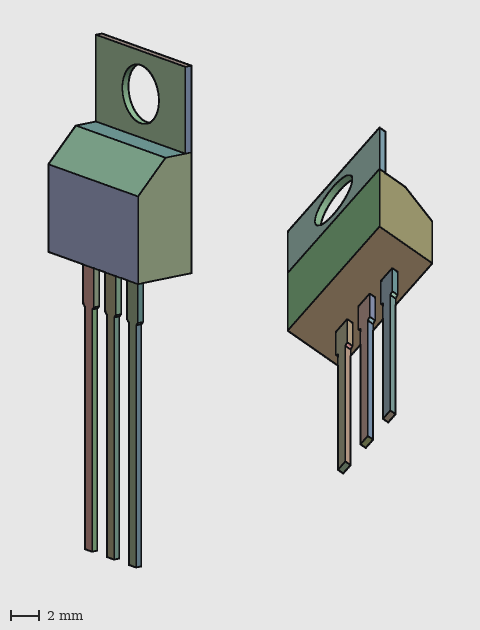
import cadquery as cq

width = 10.32
depth = 4.65
total_height = 36.08

tab_height = 6.25
tab_thickness = 0.55
hole_diameter = 4.2

housing_height = 8.7
front_chamfer = 2.38

lead_count = 3
lead_pitch = 2.53
lead_thickness = 0.47
lead_back_offset = 2.92
lead_wide_width = 1.25
lead_narrow_width = 0.83
lead_wide_length = 3.5
shoulder_height = (lead_wide_width - lead_narrow_width) / 2

y_back = depth / 2
y_front = -depth / 2
lead_length = total_height - tab_height - housing_height


def make_housing():
    """Block with a sloped upper front edge, extruded across the width."""
    return (
        cq.Workplane("YZ")
        .moveTo(y_back, 0)
        .lineTo(y_back, housing_height)
        .lineTo(y_front + front_chamfer, housing_height)
        .lineTo(y_front, housing_height - front_chamfer)
        .lineTo(y_front, 0)
        .close()
        .extrude(width / 2, both=True)
    )


def make_tab():
    """Thin plate standing on the housing, flush with its back, with a central hole."""
    return (
        cq.Workplane("XY")
        .box(width, tab_thickness, tab_height)
        .faces("<Y")
        .workplane(centerOption="CenterOfMass")
        .hole(hole_diameter)
        .translate((0, y_back - tab_thickness / 2, housing_height + tab_height / 2))
    )


def make_lead(x_center):
    """Flat lead below the housing, wide at its root and narrow below the shoulders."""
    half_wide = lead_wide_width / 2
    half_narrow = lead_narrow_width / 2
    z_shoulder_top = -lead_wide_length
    z_shoulder_bottom = z_shoulder_top - shoulder_height
    outline = [
        (-half_wide, 0),
        (half_wide, 0),
        (half_wide, z_shoulder_top),
        (half_narrow, z_shoulder_bottom),
        (half_narrow, -lead_length),
        (-half_narrow, -lead_length),
        (-half_narrow, z_shoulder_bottom),
        (-half_wide, z_shoulder_top),
    ]
    return (
        cq.Workplane("XZ")
        .polyline(outline)
        .close()
        .extrude(lead_thickness / 2, both=True)
        .translate((x_center, y_back - lead_back_offset, 0))
    )


housing = make_housing()
tab = make_tab()

leads = []
for index in range(lead_count):
    lead_x = (index - (lead_count - 1) / 2) * lead_pitch
    leads.append(make_lead(lead_x))

result = cq.Compound.makeCompound([housing.val(), tab.val(), *[lead.val() for lead in leads]])